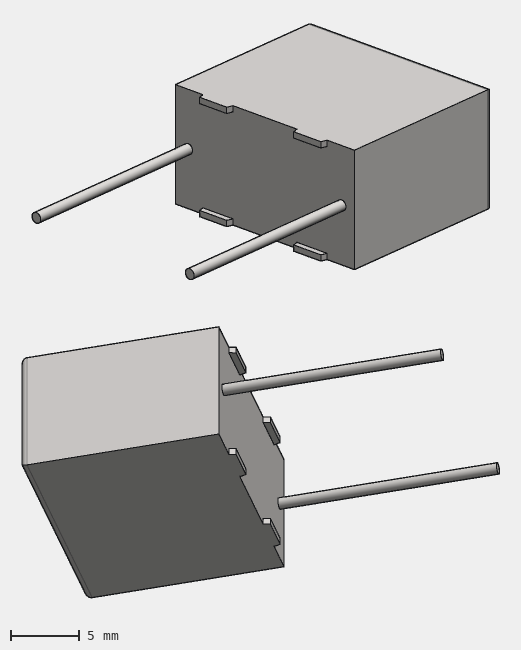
import cadquery as cq


overall_length = 31.5
width = 17.5
height = 9.5
depth = 15.0
back_edge_radius = 0.5

foot_base_width = 2.95
foot_side_taper = 0.15
foot_height = 0.5
foot_thickness = 0.5
foot_centre_x = 4.6

lead_diameter = 0.85
lead_spacing = 15.0
lead_length = overall_length - depth


def make_foot(centre_x, bottom_z):
    """Trapezoidal foot that stands on the front face and narrows towards its tip."""
    half_base = foot_base_width / 2
    half_tip = half_base - foot_side_taper
    return (
        cq.Workplane("XY", origin=(centre_x, 0, bottom_z))
        .moveTo(-half_base, 0)
        .lineTo(-half_tip, -foot_height)
        .lineTo(half_tip, -foot_height)
        .lineTo(half_base, 0)
        .close()
        .extrude(foot_thickness)
    )


def make_housing():
    """Box with rounded back edges and a foot near each end of both long front edges."""
    body = (
        cq.Workplane("XY")
        .box(width, depth, height)
        .translate((0, depth / 2, 0))
        .faces(">Y")
        .edges()
        .fillet(back_edge_radius)
    )
    for centre_x in (-foot_centre_x, foot_centre_x):
        for bottom_z in (-height / 2, height / 2 - foot_thickness):
            body = body.union(make_foot(centre_x, bottom_z))
    return body


def make_lead(centre_x):
    """Round wire that starts on the front face at mid height."""
    return (
        cq.Workplane("XZ", origin=(centre_x, 0, 0))
        .circle(lead_diameter / 2)
        .extrude(lead_length)
    )


housing = make_housing()
leads = [make_lead(centre_x) for centre_x in (-lead_spacing / 2, lead_spacing / 2)]

result = cq.Compound.makeCompound([housing.val(), *[lead.val() for lead in leads]])